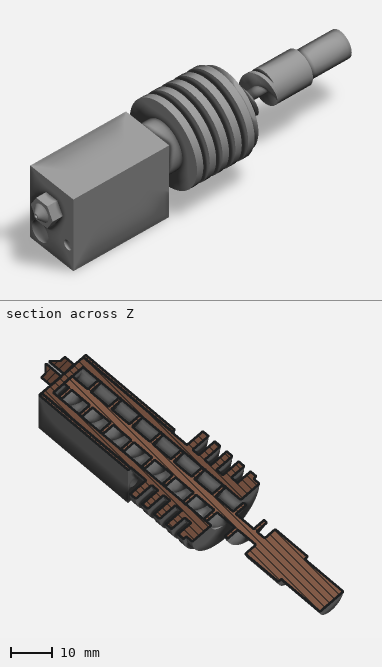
import cadquery as cq
import math


total_length = 95.5

block_length = 30.0
block_width = 15.95
block_height = 23.0
block_top = block_width / 2
block_bottom = block_top - block_height
cartridge_hole_diameter = 6.0
cartridge_hole_x = -4.3
cartridge_hole_z = -10.8
sensor_hole_diameter = 2.9
sensor_hole_x = 5.9
sensor_hole_z = -8.0

barrel_diameter = 14.0
neck_length = 5.0
fin_diameter = 24.8
fin_thickness = 2.0
fin_pitch = 4.0
fin_count = 5
collar_diameter = 15.95
end_flange_diameter = 22.9
end_flange_thickness = 2.0
first_fin_front = block_length + neck_length
last_fin_front = first_fin_front + (fin_count - 1) * fin_pitch
last_fin_back = last_fin_front + fin_thickness
barrel_back = last_fin_back + end_flange_thickness

nozzle_across_flats = 7.1
nozzle_hex_length = 3.15
nozzle_tip_length = 1.8
nozzle_cone_diameter = 5.2
nozzle_tip_diameter = 1.5
orifice_diameter = 0.9
nozzle_length = nozzle_hex_length + nozzle_tip_length

screw_diameter = 10.0
core_diameter = 3.0
flight_pitch = 7.0
flight_thickness = 1.05
flight_top_setback = 1.4
journal_length = 11.0
shank_diameter = 8.0
shank_length = 13.0
screw_back = total_length - nozzle_length
journal_back = screw_back - shank_length
journal_front = journal_back - journal_length
bore_end_wall = (barrel_diameter - screw_diameter) / 2
bore_front = bore_end_wall


def cylinder(diameter, front, back, x=0, z=0):
    """Round bar parallel to Y, from Y = front to Y = back."""
    return cq.Workplane("XZ", origin=(x, front, z)).circle(diameter / 2).extrude(front - back)


def make_block():
    """Rectangular block with through holes for the barrel, the heater cartridge and the sensor."""
    block = (
        cq.Workplane("XY")
        .box(block_width, block_length, block_height, centered=(True, False, False))
        .translate((0, 0, block_bottom))
    )
    barrel_seat = cylinder(barrel_diameter, 0, block_length)
    cartridge_hole = cylinder(
        cartridge_hole_diameter, 0, block_length, cartridge_hole_x, cartridge_hole_z
    )
    sensor_hole = cylinder(sensor_hole_diameter, 0, block_length, sensor_hole_x, sensor_hole_z)
    return block.cut(barrel_seat).cut(cartridge_hole).cut(sensor_hole)


def make_barrel():
    """Barrel that fills the block's seat, carries the cooling fins and houses the screw."""
    barrel = cylinder(barrel_diameter, 0, barrel_back)
    for index in range(fin_count):
        fin_front = first_fin_front + index * fin_pitch
        barrel = barrel.union(cylinder(fin_diameter, fin_front, fin_front + fin_thickness))
    collar = cylinder(collar_diameter, last_fin_front - fin_pitch + fin_thickness, last_fin_front)
    end_flange = cylinder(end_flange_diameter, last_fin_back, barrel_back)
    screw_bore = cylinder(screw_diameter, bore_front, barrel_back)
    return barrel.union(collar).union(end_flange).cut(screw_bore)


def make_nozzle():
    """Hexagon against the barrel's closed front end, with a conical tip and a through orifice."""
    across_corners = nozzle_across_flats / math.cos(math.pi / 6)
    hexagon = cq.Workplane("XZ").polygon(6, across_corners).extrude(nozzle_hex_length)
    cone = (
        cq.Workplane("XZ", origin=(0, -nozzle_hex_length, 0))
        .circle(nozzle_cone_diameter / 2)
        .workplane(offset=nozzle_tip_length)
        .circle(nozzle_tip_diameter / 2)
        .loft()
    )
    orifice = cylinder(orifice_diameter, -nozzle_length, 0)
    return hexagon.union(cone).cut(orifice)


def polar_point(radius, degrees):
    """Point at the given radius and angle about the origin."""
    angle = math.radians(degrees)
    return (radius * math.cos(angle), radius * math.sin(angle))


def make_auger():
    """Core with its right-handed flight: one cross-section twisted along the axis."""
    core_radius = core_diameter / 2
    flight_radius = screw_diameter / 2
    flight_angle = 360 * flight_thickness / flight_pitch
    auger_length = journal_front - bore_front

    turns_to_crossing = (auger_length - flight_top_setback) / flight_pitch
    flight_middle = -90 - 360 * turns_to_crossing
    flight_start = flight_middle - flight_angle / 2
    flight_end = flight_middle + flight_angle / 2
    section = (
        cq.Workplane("XY")
        .moveTo(*polar_point(core_radius, flight_end))
        .lineTo(*polar_point(flight_radius, flight_end))
        .threePointArc(
            polar_point(flight_radius, flight_middle), polar_point(flight_radius, flight_start)
        )
        .lineTo(*polar_point(core_radius, flight_start))
        .threePointArc(
            polar_point(core_radius, flight_middle + 180), polar_point(core_radius, flight_end)
        )
        .close()
    )
    auger = section.twistExtrude(auger_length, 360 * auger_length / flight_pitch)
    return auger.rotate((0, 0, 0), (1, 0, 0), -90).translate((0, bore_front, 0))


def make_screw():
    """Auger, journal and drive shank as one turned body."""
    journal = cylinder(screw_diameter, journal_front, journal_back)
    shank = cylinder(shank_diameter, journal_back, screw_back)
    return make_auger().union(journal).union(shank)


heater_block = make_block()
finned_barrel = make_barrel()
nozzle = make_nozzle()
feed_screw = make_screw()

result = cq.Compound.makeCompound(
    [heater_block.val(), finned_barrel.val(), nozzle.val(), *feed_screw.vals()]
)